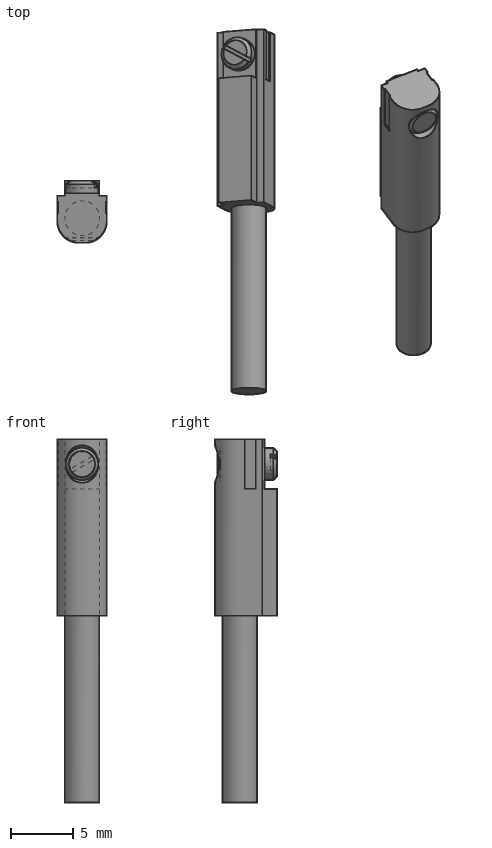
import cadquery as cq

body_width = 4.0
body_length = 14.2
front_y = -body_width / 2
back_y = 1.8
front_corner_radius = 1.775

rail_width = 2.8
rail_back_y = 3.0
rail_relief_y = 2.0
rail_relief_length = 4.0

cable_diameter = 2.8
cable_length = 15.0

groove_center_y = 0.85
groove_width = 0.9
groove_depth = 0.1
groove_length = rail_relief_length

screw_diameter = 2.6
screw_drop = 2.0
screw_front_y = -1.8
screw_back_y = rail_back_y
screw_front_chamfer = 0.25
screw_back_chamfer = 0.3
countersink_diameter = 3.0
countersink_depth = 0.4
slot_width = 0.3
slot_depth = 0.55
slot_angle = 30.0

body_bottom_z = cable_length
body_top_z = body_bottom_z + body_length
rail_top_z = body_top_z - rail_relief_length
screw_z = body_top_z - screw_drop


def block(x_size, y_range, z_range):
    """Box centred on X = 0 that spans the given Y and Z ranges."""
    y_size = y_range[1] - y_range[0]
    z_size = z_range[1] - z_range[0]
    box = cq.Workplane("XY").box(x_size, y_size, z_size, centered=(True, False, False))
    return box.translate((0, y_range[0], z_range[0]))


def make_housing():
    housing = block(body_width, (front_y, back_y), (body_bottom_z, body_top_z))
    return housing.edges("|Z and <Y").fillet(front_corner_radius)


def make_rail():
    rail = block(rail_width, (0, rail_back_y), (body_bottom_z, rail_top_z))
    relieved_rail = block(rail_width, (0, rail_relief_y), (rail_top_z, body_top_z))
    return rail.union(relieved_rail)


def make_cable():
    return cq.Workplane("XY").circle(cable_diameter / 2).extrude(body_bottom_z)


def make_flank_groove(side):
    """Groove cutter for the flank on the given side of X (-1 or +1)."""
    y_range = (groove_center_y - groove_width / 2, groove_center_y + groove_width / 2)
    cutter = block(2 * groove_depth, y_range, (body_top_z - groove_length, body_top_z))
    return cutter.translate((side * body_width / 2, 0, 0))


def make_screw_hole():
    """Countersunk recess in front of the screw, as a profile revolved about the screw axis."""
    hole_radius = screw_diameter / 2
    countersink_radius = countersink_diameter / 2
    countersink_end_y = front_y + countersink_depth
    profile = (
        cq.Workplane("XY")
        .moveTo(0, front_y)
        .lineTo(countersink_radius, front_y)
        .lineTo(hole_radius, countersink_end_y)
        .lineTo(hole_radius, rail_relief_y)
        .lineTo(0, rail_relief_y)
        .close()
    )
    return profile.revolve(360, (0, 0, 0), (0, 1, 0)).translate((0, 0, screw_z))


def make_screw():
    """Screw chamfered at both ends, with a driver slot in its back end."""
    screw = (
        cq.Workplane("XZ", origin=(0, screw_front_y, screw_z))
        .circle(screw_diameter / 2)
        .extrude(screw_front_y - screw_back_y)
        .faces("<Y")
        .chamfer(screw_front_chamfer)
        .faces(">Y")
        .chamfer(screw_back_chamfer)
    )
    slot = (
        cq.Workplane("XY")
        .box(2 * screw_diameter, 2 * slot_depth, slot_width)
        .rotate((0, 0, 0), (0, 1, 0), -slot_angle)
        .translate((0, screw_back_y, screw_z))
    )
    return screw.cut(slot)


part = make_housing().union(make_rail()).union(make_cable())
for flank in (-1, 1):
    part = part.cut(make_flank_groove(flank))
part = part.cut(make_screw_hole())
result = part.union(make_screw())